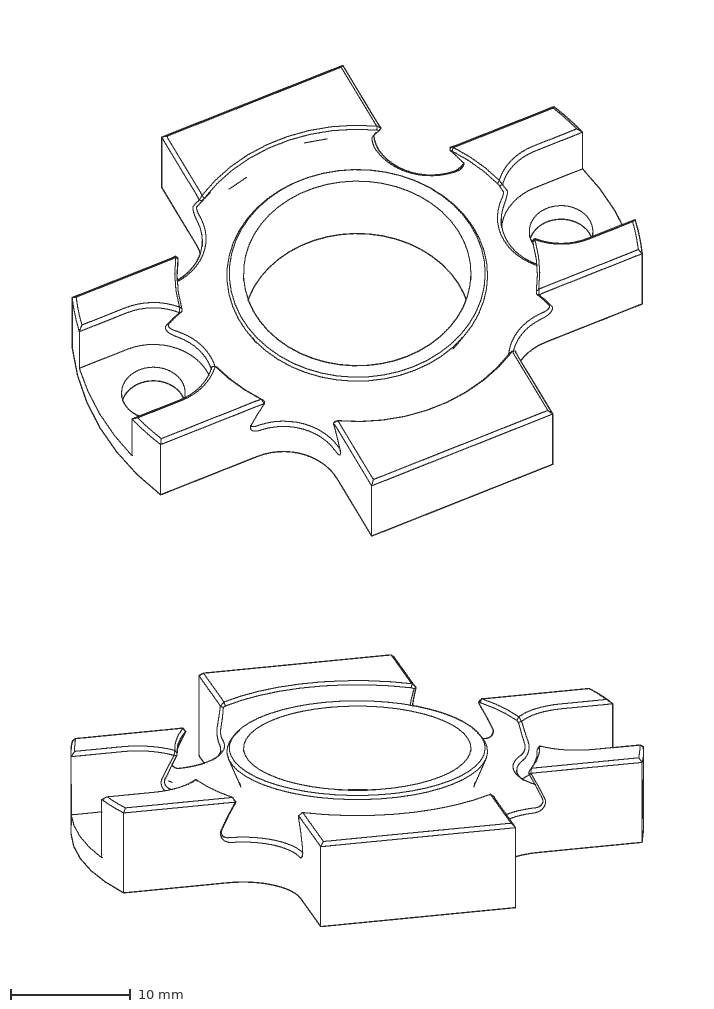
import cadquery as cq
import math

length_x = 40.0
length_y = 47.9
height = 7.5
arm_width = 16.85
corner_radius = 5.0

bore_diameter = 19.0
hole_diameter = 5.3
hole_offset = 18.95
seat_width = 10.0
seat_floor = 1.95

groove_floor = 3.95
groove_inner_radius = 11.0
groove_outer_radius = 14.95
groove_wall_angle = 22.0
groove_fillet = 0.57

edge_chamfer = 0.315
tolerance = 0.0005


def make_cross():
    """Four-armed plate with rounded inner corners and arc ends on the Y arms."""
    arms_x = cq.Workplane("XY").rect(length_x, arm_width).extrude(height)
    arms_y = cq.Workplane("XY").rect(arm_width, length_y).extrude(height)
    corner_reach = arm_width / 2 + tolerance
    inner_corners = cq.selectors.BoxSelector(
        (-corner_reach, -corner_reach, 0),
        (corner_reach, corner_reach, height),
    )
    plate = arms_x.union(arms_y).edges("|Z").edges(inner_corners).fillet(corner_radius)
    return plate.intersect(cq.Workplane("XY").circle(length_y / 2).extrude(height))


def make_groove():
    """Ring with undercut walls and a fillet along both sides of its floor."""
    undercut = (height - groove_floor) * math.tan(math.radians(groove_wall_angle))
    ring = (
        cq.Workplane("XZ")
        .moveTo(groove_inner_radius - undercut, groove_floor)
        .lineTo(groove_outer_radius + undercut, groove_floor)
        .lineTo(groove_outer_radius, height)
        .lineTo(groove_inner_radius, height)
        .close()
        .revolve(360, (0, 0, 0), (0, 1, 0))
    )
    return ring.faces("<Z").edges().fillet(groove_fillet)


def make_screw_cut(side):
    """Screw hole and U-shaped seat, open towards the end of one Y arm."""
    hole_center = cq.Workplane("XY").center(0, side * hole_offset)
    hole = hole_center.circle(hole_diameter / 2).extrude(height)
    seat_center = hole_center.workplane(offset=seat_floor)
    round_end = seat_center.circle(seat_width / 2).extrude(height)
    open_length = length_y / 2
    open_end = seat_center.center(0, side * open_length / 2).rect(seat_width, open_length).extrude(height)
    return hole.union(round_end).union(open_end)


def is_sharp_rim(edge):
    """True for the outlines of the top and of the groove, without the bore rim and smooth seams."""
    box = edge.BoundingBox()
    if box.zmin < groove_floor - tolerance:
        return False
    if max(abs(box.ymin), abs(box.ymax)) < tolerance:
        return False
    if edge.geomType() != "CIRCLE":
        return True
    center = edge.arcCenter()
    is_level = box.zmax - box.zmin < tolerance
    is_concentric = math.hypot(center.x, center.y) < tolerance
    if not (is_level and is_concentric):
        return True
    return center.z > height - tolerance and edge.radius() > bore_diameter / 2 + tolerance


body = make_cross()
body = body.cut(cq.Workplane("XY").circle(bore_diameter / 2).extrude(height))
body = body.cut(make_groove())
for side in (-1, 1):
    body = body.cut(make_screw_cut(side))

sharp_rims = [edge for edge in body.edges().vals() if is_sharp_rim(edge)]
result = body.newObject(sharp_rims).chamfer(edge_chamfer)